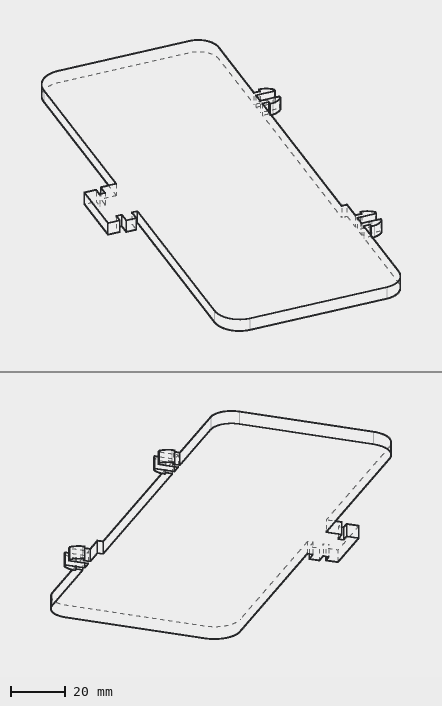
import cadquery as cq

length = 180.0
thickness = 5.0
right_height = 72.0
step_drop = 2.2
left_height = right_height - step_drop
step_x = 123.3
bottom_radius = 9.9
top_radius = 8.1

clip_positions = [
    (length / 4, left_height),
    (length * 3 / 4, right_height),
]
clip_height = 7.5
clip_slot_half = 2.0
clip_stem_half = 4.0
clip_tip_half = 3.0
barb_half = 5.2
barb_base = 2.5
barb_shoulder = 3.6
barb_arc_x = 4.5
barb_arc_y = 5.8

tab_center = length / 2
tab_depth = 13.0
neck_width = 15.8
ear_width = 24.1
ear_top = 2.2
ear_bottom = 6.1
foot_width = 22.3
foot_top = 8.3

overlap = 1.8


def block(x_min, x_max, y_min, y_max):
    """Full-thickness rectangular block between the given limits."""
    return (
        cq.Workplane("XY")
        .box(x_max - x_min, y_max - y_min, thickness, centered=False)
        .translate((x_min, y_min, 0))
    )


def make_panel():
    """Rounded panel whose upper edge steps down on the left."""
    panel = block(0, length, 0, right_height)
    panel = panel.cut(block(0, step_x, left_height, right_height))
    panel = panel.edges("|Z and <Y").edges("<X or >X").fillet(bottom_radius)
    left_corner = cq.selectors.NearestToPointSelector((0, left_height, thickness / 2))
    right_corner = cq.selectors.NearestToPointSelector((length, right_height, thickness / 2))
    panel = panel.edges("|Z").edges(left_corner).fillet(top_radius)
    return panel.edges("|Z").edges(right_corner).fillet(top_radius)


def make_prong(side):
    """One barbed prong of a clip; side is -1 for left and 1 for right."""
    return (
        cq.Workplane("XY")
        .moveTo(side * clip_slot_half, -overlap)
        .lineTo(side * clip_stem_half, -overlap)
        .lineTo(side * clip_stem_half, barb_base)
        .lineTo(side * barb_half, barb_base)
        .lineTo(side * barb_half, barb_shoulder)
        .threePointArc((side * barb_arc_x, barb_arc_y), (side * clip_tip_half, clip_height))
        .lineTo(side * clip_slot_half, clip_height)
        .close()
        .extrude(thickness)
    )


def make_tab():
    """Neck with a wide foot and ears; the left ear runs up to the panel."""
    half_neck = neck_width / 2
    half_ear = ear_width / 2
    half_foot = foot_width / 2
    neck = block(tab_center - half_neck, tab_center + half_neck, -tab_depth, overlap)
    left_ear = block(tab_center - half_ear, tab_center, -ear_bottom, overlap)
    right_ear = block(tab_center, tab_center + half_ear, -ear_bottom, -ear_top)
    foot = block(tab_center - half_foot, tab_center + half_foot, -tab_depth, -foot_top)
    return neck.union(left_ear).union(right_ear).union(foot)


result = make_panel().union(make_tab())
for clip_x, clip_y in clip_positions:
    for side in (-1, 1):
        result = result.union(make_prong(side).translate((clip_x, clip_y, 0)))
result = result.clean()